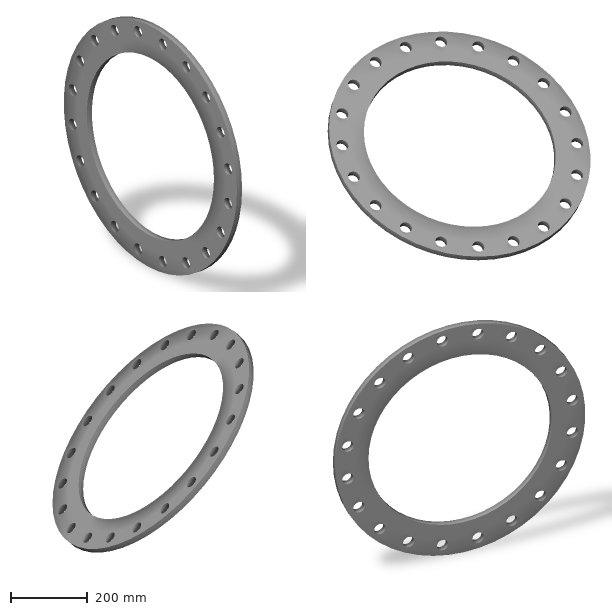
import cadquery as cq

outer_diameter = 698.5
bore_diameter = 513.0
thickness = 17.5

hole_count = 20
hole_diameter = 31.5
bolt_circle_diameter = 635.0
hole_pitch_angle = 360 / hole_count

ring = (
    cq.Workplane("XZ")
    .circle(outer_diameter / 2)
    .circle(bore_diameter / 2)
    .extrude(thickness)
)

bolt_holes = (
    cq.Workplane("XZ")
    .polarArray(bolt_circle_diameter / 2, hole_pitch_angle / 2, 360, hole_count)
    .circle(hole_diameter / 2)
    .extrude(thickness)
)

result = ring.cut(bolt_holes)